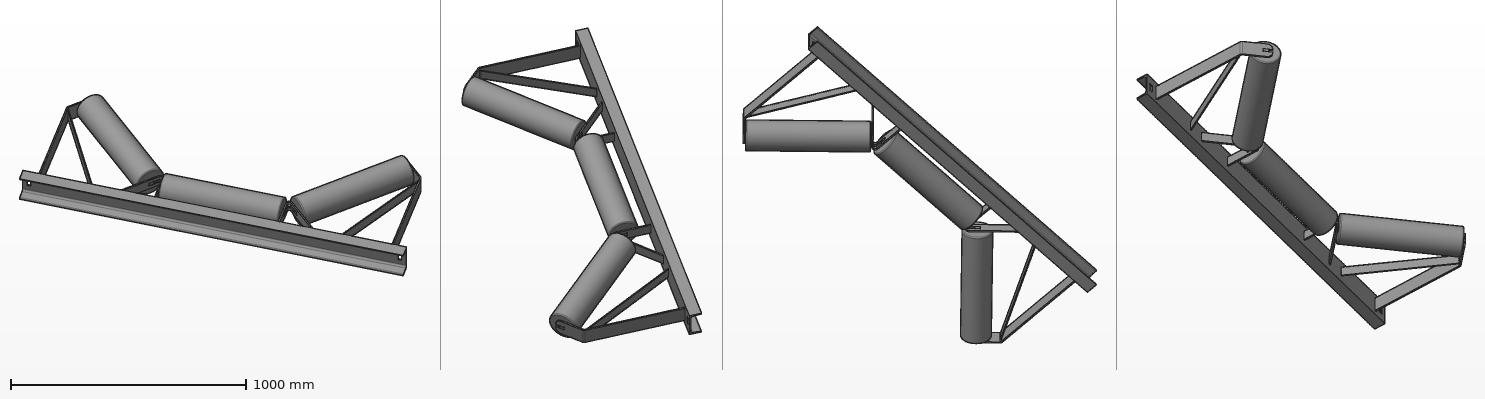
import cadquery as cq
import math


BEAM_LENGTH = 1700.0
BEAM_HEIGHT = 120.0
BEAM_DEPTH = 55.0
WEB_THICKNESS = 7.0
FLANGE_THICKNESS = 9.0
FLANGE_SLOPE = 0.08
ROOT_RADIUS = 9.0
TOE_RADIUS = 4.5
MOUNT_SLOT_WIDTH = 15.0
MOUNT_SLOT_HEIGHT = 35.0
MOUNT_SLOT_END_DISTANCE = 29.0

ROLLER_RADIUS = 66.0
ROLLER_LENGTH = 532.0
ROLLER_EDGE_RADIUS = 5.0
SHAFT_RADIUS = 12.8
SHAFT_FLAT_WIDTH = 15.0
MIDDLE_ROLLER_Y = 117.0
SIDE_ROLLER_X = -513.0
SIDE_ROLLER_Y = 330.0
SIDE_ROLLER_TILT = 45.0

PLATE_THICKNESS = 7.0
PLATE_GAP = 4.2
BEND_OUTER_RADIUS = 15.0
BEND_INNER_RADIUS = BEND_OUTER_RADIUS - PLATE_THICKNESS
POST_WIDTH = 76.0
POST_TIP_RADIUS = 27.0
POST_OUTER_X = -785.0
POST_TIP_LENGTH = 29.0
BRACKET_WIDTH = 50.0

BRACE_WIDTH = 50.0
BRACE_THICKNESS = 5.0
BRACE_FOOT_X = -537.0

EDGE_REACH = 0.8

TILT = math.radians(SIDE_ROLLER_TILT)
AXIS_OUT = cq.Vector(-math.cos(TILT), math.sin(TILT), 0)
AXIS_UP = cq.Vector(math.sin(TILT), math.cos(TILT), 0)
SIDE_ROLLER_CENTRE = cq.Vector(SIDE_ROLLER_X, SIDE_ROLLER_Y, 0)
PLATE_NEAR = ROLLER_LENGTH / 2 + PLATE_GAP
PLATE_FAR = PLATE_NEAR + PLATE_THICKNESS


def side_roller_point(along, across):
    """Point in the XY plane given from the centre of the left roller."""
    return SIDE_ROLLER_CENTRE + AXIS_OUT * along + AXIS_UP * across


def line_at_x(point, x):
    """Point with the given X on the line through `point` parallel to AXIS_UP."""
    return point + AXIS_UP * ((x - point.x) / AXIS_UP.x)


def line_at_y(point, y):
    """Point with the given Y on the line through `point` parallel to AXIS_UP."""
    return point + AXIS_UP * ((y - point.y) / AXIS_UP.y)


def plate_solid(corners, width):
    """Plate with the given outline in XY, centred on Z = 0."""
    outline = [(corner.x, corner.y) for corner in corners]
    return cq.Workplane("XY", origin=(0, 0, -width / 2)).polyline(outline).close().extrude(width)


def edges_at(body, middle):
    """Edges of a body whose middle lies at the given point."""
    reach = cq.Vector(EDGE_REACH, EDGE_REACH, EDGE_REACH)
    return body.edges(cq.selectors.BoxSelector((middle - reach).toTuple(), (middle + reach).toTuple()))


def round_bend(plate, outer_corner, inner_corner):
    """Rounds a sharp plate bend to concentric radii."""
    plate = edges_at(plate, outer_corner).fillet(BEND_OUTER_RADIUS)
    return edges_at(plate, inner_corner).fillet(BEND_INNER_RADIUS)


def make_beam():
    half_height = BEAM_HEIGHT / 2
    inner_at_web = half_height - FLANGE_THICKNESS - FLANGE_SLOPE * (BEAM_DEPTH / 2 - WEB_THICKNESS)
    inner_at_toe = half_height - FLANGE_THICKNESS + FLANGE_SLOPE * BEAM_DEPTH / 2
    profile = [
        (0, -half_height),
        (-BEAM_DEPTH, -half_height),
        (-BEAM_DEPTH, -inner_at_toe),
        (-WEB_THICKNESS, -inner_at_web),
        (-WEB_THICKNESS, inner_at_web),
        (-BEAM_DEPTH, inner_at_toe),
        (-BEAM_DEPTH, half_height),
        (0, half_height),
    ]
    end_plane = cq.Workplane("YZ", origin=(-BEAM_LENGTH / 2, 0, 0))
    beam = end_plane.polyline(profile).close().extrude(BEAM_LENGTH)

    for side in (-1, 1):
        root = cq.Vector(0, -WEB_THICKNESS, side * inner_at_web)
        toe = cq.Vector(0, -BEAM_DEPTH, side * inner_at_toe)
        beam = edges_at(beam, root).fillet(ROOT_RADIUS)
        beam = edges_at(beam, toe).fillet(TOE_RADIUS)

    slot_x = BEAM_LENGTH / 2 - MOUNT_SLOT_END_DISTANCE
    slots = (
        cq.Workplane("XZ")
        .pushPoints([(-slot_x, 0), (slot_x, 0)])
        .rect(MOUNT_SLOT_WIDTH, MOUNT_SLOT_HEIGHT)
        .extrude(WEB_THICKNESS)
    )
    return beam.cut(slots)


def centred_cylinder(radius, length):
    """Cylinder along X, centred on the origin."""
    return cq.Workplane("YZ", origin=(-length / 2, 0, 0)).circle(radius).extrude(length)


def make_roller():
    """Roller along X, centred on the origin, with flats on the shaft ends that sit in the slots."""
    shell = centred_cylinder(ROLLER_RADIUS, ROLLER_LENGTH)
    shell = shell.faces("<X or >X").edges().fillet(ROLLER_EDGE_RADIUS)
    journals = centred_cylinder(SHAFT_RADIUS, 2 * PLATE_NEAR)
    flat_bar = cq.Workplane("XY").box(2 * PLATE_FAR, 2 * SHAFT_RADIUS, SHAFT_FLAT_WIDTH)
    flat_ends = centred_cylinder(SHAFT_RADIUS, 2 * PLATE_FAR).intersect(flat_bar)
    return shell.union(journals).union(flat_ends)


def make_post():
    """Left outer post: upright from the beam, bent to lie square across the roller axis."""
    outer_line = side_roller_point(PLATE_FAR, 0)
    inner_line = side_roller_point(PLATE_NEAR, 0)
    post_inner_x = POST_OUTER_X + PLATE_THICKNESS
    outer_bend = line_at_x(outer_line, POST_OUTER_X)
    inner_bend = line_at_x(inner_line, post_inner_x)
    corners = [
        cq.Vector(POST_OUTER_X, 0, 0),
        outer_bend,
        side_roller_point(PLATE_FAR, POST_TIP_LENGTH),
        side_roller_point(PLATE_NEAR, POST_TIP_LENGTH),
        inner_bend,
        cq.Vector(post_inner_x, 0, 0),
    ]
    post = round_bend(plate_solid(corners, POST_WIDTH), outer_bend, inner_bend)

    tip_face = post.faces(cq.selectors.DirectionMinMaxSelector(AXIS_UP, True))
    post = tip_face.edges(cq.selectors.ParallelDirSelector(AXIS_OUT)).fillet(POST_TIP_RADIUS)

    slot_plane = cq.Plane(origin=side_roller_point(PLATE_NEAR, 0), xDir=AXIS_UP, normal=AXIS_OUT)
    slot_length = SHAFT_RADIUS + POST_TIP_LENGTH
    slot = (
        cq.Workplane(slot_plane)
        .center(POST_TIP_LENGTH - slot_length / 2, 0)
        .rect(slot_length, SHAFT_FLAT_WIDTH)
        .extrude(PLATE_THICKNESS)
    )
    return post.cut(slot)


def make_bracket():
    """Left inner bracket: a folded plate holding the left roller and the middle roller.

    One slot runs over the fold, from below one shaft to below the other.
    """
    upright_near_x = -PLATE_NEAR
    upright_far_x = -PLATE_FAR
    near_line = side_roller_point(-PLATE_NEAR, 0)
    far_line = side_roller_point(-PLATE_FAR, 0)
    outer_bend = line_at_x(near_line, upright_near_x)
    inner_bend = line_at_x(far_line, upright_far_x)
    corners = [
        line_at_y(near_line, 0),
        outer_bend,
        cq.Vector(upright_near_x, 0, 0),
        cq.Vector(upright_far_x, 0, 0),
        inner_bend,
        line_at_y(far_line, 0),
    ]
    bracket = round_bend(plate_solid(corners, BRACKET_WIDTH), outer_bend, inner_bend)

    upright_slot_y = MIDDLE_ROLLER_Y - SHAFT_RADIUS
    slot_corners = [
        side_roller_point(-PLATE_NEAR, -SHAFT_RADIUS),
        outer_bend,
        cq.Vector(upright_near_x, upright_slot_y, 0),
        cq.Vector(upright_far_x, upright_slot_y, 0),
        side_roller_point(-PLATE_FAR, -SHAFT_RADIUS),
    ]
    return bracket.cut(plate_solid(slot_corners, SHAFT_FLAT_WIDTH))


def make_brace(post):
    """Left diagonal brace, from the beam up to the inside of the post bend, which shapes its top."""
    foot = cq.Vector(BRACE_FOOT_X, 0, 0)
    top = line_at_x(side_roller_point(PLATE_NEAR, 0), POST_OUTER_X + PLATE_THICKNESS)
    along = (top - foot).normalized()
    foot_half_width = cq.Vector(BRACE_THICKNESS / 2 / along.y, 0, 0)
    top_half_width = along.cross(cq.Vector(0, 0, 1)) * (BRACE_THICKNESS / 2)
    corners = [foot + foot_half_width, top + top_half_width, top - top_half_width, foot - foot_half_width]
    return plate_solid(corners, BRACE_WIDTH).cut(post)


beam = make_beam()
roller = make_roller()
middle_roller = roller.translate((0, MIDDLE_ROLLER_Y, 0))
left_roller = roller.rotate((0, 0, 0), (0, 0, 1), -SIDE_ROLLER_TILT).translate(SIDE_ROLLER_CENTRE)

left_post = make_post()
left_bracket = make_bracket()
left_brace = make_brace(left_post)

bodies = [beam.solids().val(), middle_roller.solids().val()]
for left_body in [left_roller, left_post, left_bracket, left_brace]:
    bodies.append(left_body.solids().val())
    bodies.append(left_body.mirror("YZ").solids().val())

result = cq.Compound.makeCompound(bodies)